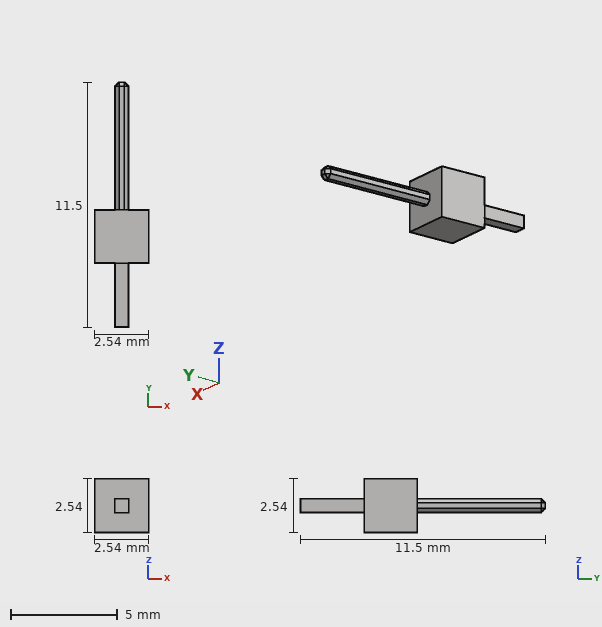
import cadquery as cq

body_side = 2.54
body_length = 2.5

pin_side = 0.65
front_pin_length = 3.0
rear_pin_length = 6.0
rear_chamfer = 0.2

body_front = -body_length / 2
body_rear = body_length / 2


def block_along_y(side, y_start, length):
    """Square-section block centred on the Y axis, starting at y_start."""
    return cq.Workplane("XY").box(side, length, side).translate((0, y_start + length / 2, 0))


def rear_pin():
    """Contact leg with its long edges and its tip edges chamfered."""
    leg = block_along_y(pin_side, body_rear, rear_pin_length)
    return leg.edges("|Y or >Y").chamfer(rear_chamfer)


body = block_along_y(body_side, body_front, body_length)
front_pin = block_along_y(pin_side, body_front - front_pin_length, front_pin_length)

result = body.union(front_pin).union(rear_pin())